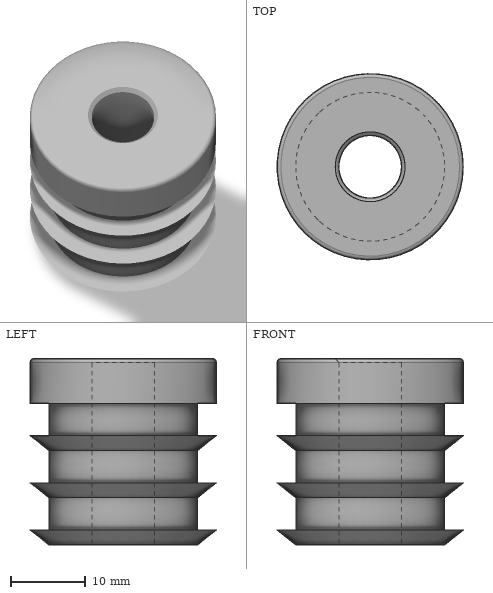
import cadquery as cq

height = 25.0
outer_diameter = 25.0
stem_diameter = 20.0
head_height = 6.0
head_edge_radius = 0.5
bore_diameter = 8.38
bore_chamfer = 0.5
fin_count = 3
fin_height = 2.0

stem_height = height - head_height
fin_pitch = stem_height / fin_count


def make_head():
    """Round cap with a rounded top edge."""
    head = cq.Workplane("XY").workplane(offset=stem_height).circle(outer_diameter / 2).extrude(head_height)
    return head.faces(">Z").edges().fillet(head_edge_radius)


def make_fin(bottom_z):
    """Conical fin, flaring upward from the stem to a flat top with a sharp rim."""
    return (
        cq.Workplane("XY")
        .workplane(offset=bottom_z)
        .circle(stem_diameter / 2)
        .workplane(offset=fin_height)
        .circle(outer_diameter / 2)
        .loft(ruled=True)
    )


body = cq.Workplane("XY").circle(stem_diameter / 2).extrude(stem_height)
body = body.union(make_head())

for index in range(fin_count):
    body = body.union(make_fin(index * fin_pitch))

body = body.faces(">Z").workplane(origin=(0, 0, height)).hole(bore_diameter)
result = body.faces(">Z").edges("%CIRCLE").edges(cq.selectors.RadiusNthSelector(0)).chamfer(bore_chamfer)